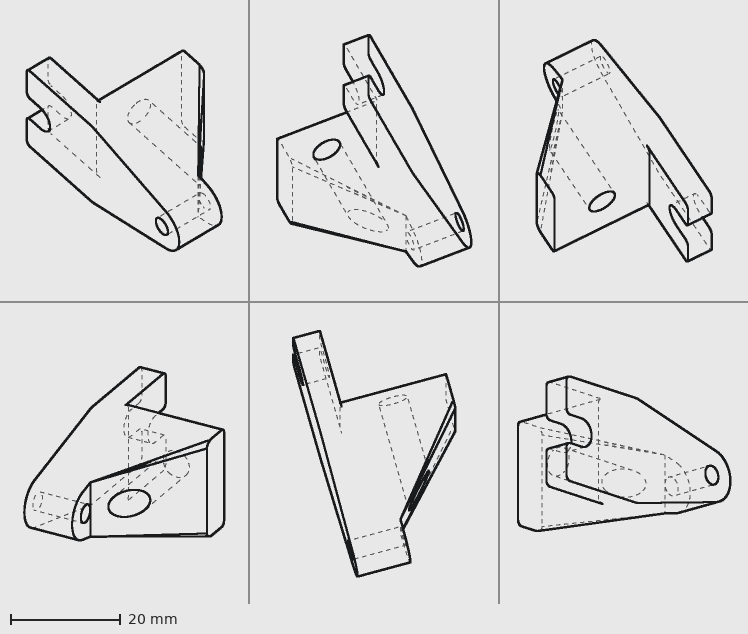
import cadquery as cq
import math

length = 44.0
depth = 25.0
height = 20.0
half_height = height / 2

plate_thickness = 5.0
corner_radius = 1.0
tip_radius = 5.0
tip_center_x = length - tip_radius
pin_diameter = 3.5
taper_start_x = 18.9
taper_bend_radius = 5.0

bolt_diameter = 5.4
slot_center_x = 4.0
bolt_center_y = 15.0

upright_x = 14.0
upright_top_x = 20.5
slope_foot_x = 37.2
slope_foot_y = 10.0

edge_radius = 1.0

edge_search = 0.45

tool_size = 4 * length

bend_to_tip_x = tip_center_x - taper_start_x
bend_to_tip = math.hypot(bend_to_tip_x, half_height)
taper_angle = math.atan2(half_height, bend_to_tip_x) - math.asin(tip_radius / bend_to_tip)
tangent_x = tip_center_x + tip_radius * math.sin(taper_angle)
tangent_z = tip_radius * math.cos(taper_angle)


def taper_height(x):
    """Z of the upper tapered side at a given X."""
    return half_height - (x - taper_start_x) * math.tan(taper_angle)


def extrude_along_y(sketch, distance):
    """Extrude an XZ outline from Y = 0 toward +Y."""
    return sketch.extrude(-distance)


def fillet_y_edges_near(body, x, radius):
    """Fillet every edge parallel to Y that lies close to the given X."""
    near_x = cq.selectors.BoxSelector(
        (x - edge_search, -edge_search, -height),
        (x + edge_search, depth + edge_search, height),
    )
    return body.edges("|Y").edges(near_x).fillet(radius)


def make_tapered_block():
    """Full-depth block with the tapered, round-nosed outline."""
    outline = (
        cq.Workplane("XZ")
        .moveTo(0, -half_height)
        .lineTo(taper_start_x, -half_height)
        .lineTo(tangent_x, -tangent_z)
        .threePointArc((length, 0), (tangent_x, tangent_z))
        .lineTo(taper_start_x, half_height)
        .lineTo(0, half_height)
        .close()
    )
    block = extrude_along_y(outline, depth)
    return fillet_y_edges_near(block, taper_start_x, taper_bend_radius)


def make_side_profile():
    """Plate, upright and slope seen along Z, extruded over the full height."""
    return (
        cq.Workplane("XY", origin=(0, 0, -half_height))
        .polyline([
            (0, 0),
            (length, 0),
            (length, slope_foot_y),
            (slope_foot_x, slope_foot_y),
            (upright_top_x, depth),
            (upright_x, depth),
            (upright_x, plate_thickness),
            (0, plate_thickness),
        ])
        .close()
        .extrude(height)
    )


def make_slot():
    """Slot open toward -X with a round inner end."""
    channel = cq.Workplane("XZ").center(slot_center_x / 2, 0).rect(slot_center_x, bolt_diameter)
    end = cq.Workplane("XZ").center(slot_center_x, 0).circle(bolt_diameter / 2)
    return extrude_along_y(channel, plate_thickness).union(extrude_along_y(end, plate_thickness))


def make_slope_edge_cutter():
    """Material outside the tapering round on the upper slope edge; its cone has its apex at the foot."""
    foot = cq.Vector(slope_foot_x, slope_foot_y, taper_height(slope_foot_x))
    top = cq.Vector(upright_top_x, depth, taper_height(upright_top_x))
    taper_normal = cq.Vector(math.sin(taper_angle), 0, math.cos(taper_angle))
    slope_normal = cq.Vector(depth - slope_foot_y, slope_foot_x - upright_top_x, 0).normalized()

    inward = (taper_normal + slope_normal) * (-edge_radius / (1 + taper_normal.dot(slope_normal)))
    sphere_center = top + inward
    taper_contact = sphere_center + taper_normal * edge_radius
    slope_contact = sphere_center + slope_normal * edge_radius

    chord_normal = (taper_contact - foot).cross(slope_contact - foot)
    if chord_normal.z < 0:
        chord_normal = chord_normal * -1
    chord_plane = cq.Plane(foot, normal=chord_normal)
    wedge = cq.Workplane(chord_plane).rect(tool_size, tool_size).extrude(tool_size)
    above_foot = cq.Workplane("XY").box(tool_size, tool_size, tool_size, centered=(True, False, True))
    wedge = wedge.intersect(above_foot.translate((0, slope_foot_y, 0)))

    axis = sphere_center - foot
    half_angle = math.asin(edge_radius / axis.Length)
    cone_length = axis.Length + depth
    cone = cq.Solid.makeCone(0, cone_length * math.tan(half_angle), cone_length, foot, axis)
    return wedge.cut(cq.Workplane(cone))


result = make_tapered_block().intersect(make_side_profile()).cut(make_slot())

for face_x in (0, upright_x):
    result = fillet_y_edges_near(result, face_x, corner_radius)

slope_edge_cutter = make_slope_edge_cutter()
result = result.cut(slope_edge_cutter).cut(slope_edge_cutter.mirror("XY"))

pin_hole = cq.Workplane("XZ").center(tip_center_x, 0).circle(pin_diameter / 2)
bolt_hole = cq.Workplane("YZ").center(bolt_center_y, 0).circle(bolt_diameter / 2).extrude(length)
result = result.cut(extrude_along_y(pin_hole, depth)).cut(bolt_hole)